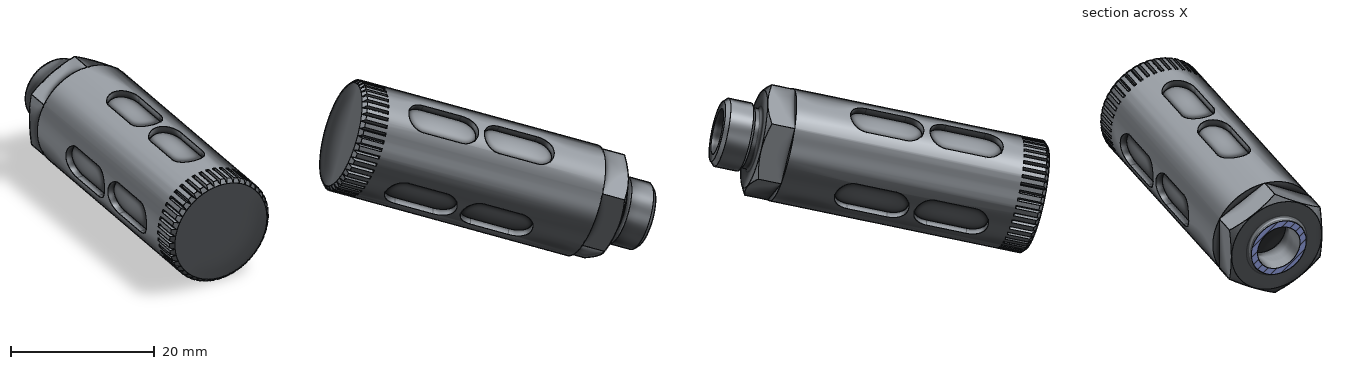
import cadquery as cq
import math

total_length = 46.0

thread_diameter = 9.73
neck_diameter = 8.57
bore_diameter = 6.49
thread_length = 3.9
mouth_chamfer_length = 0.6
neck_taper_length = 0.42
neck_fillet_radius = 0.4

hex_start = 5.33
hex_length = 3.92
hex_end = hex_start + hex_length
hex_across_flats = 14.0
hex_corner_radius = hex_across_flats / math.sqrt(3)
hex_chamfer_length = 0.6
hex_face_radius = 6.95

body_diameter = 16.0
body_radius = body_diameter / 2
end_chamfer = 0.55

slot_length = 10.6
slot_width = 4.85
slot_floor_radius = 7.0
slot_sides = 4
first_slot_center = 22.35
slot_pitch = 11.5
slot_centers = (first_slot_center, first_slot_center + slot_pitch)

knurl_start = 42.2
knurl_count = 45
knurl_width = 0.45
knurl_depth = 0.5


def make_stub():
    """Threaded stub, revolved about X, ending flush with the hexagon face."""
    thread_radius = thread_diameter / 2
    neck_radius = neck_diameter / 2
    fillet_start = hex_start - neck_fillet_radius
    arc_inset = neck_fillet_radius * math.sin(math.radians(45))
    arc_middle = (
        fillet_start + arc_inset,
        neck_radius + neck_fillet_radius - arc_inset,
    )
    profile = (
        cq.Workplane("XY")
        .moveTo(0, 0)
        .lineTo(0, neck_radius)
        .lineTo(mouth_chamfer_length, thread_radius)
        .lineTo(thread_length, thread_radius)
        .lineTo(thread_length + neck_taper_length, neck_radius)
        .lineTo(fillet_start, neck_radius)
        .threePointArc(arc_middle, (hex_start, neck_radius + neck_fillet_radius))
        .lineTo(hex_start, 0)
        .close()
    )
    return profile.revolve(360, (0, 0, 0), (1, 0, 0))


def make_hexagon():
    """Hexagon with its corners cut back by a cone on the stub side."""
    hexagon = (
        cq.Workplane("YZ", origin=(hex_start, 0, 0))
        .polygon(6, 2 * hex_corner_radius)
        .extrude(hex_length)
        .rotate((0, 0, 0), (1, 0, 0), 90)
    )
    cone = (
        cq.Workplane("XY")
        .moveTo(hex_start, 0)
        .lineTo(hex_start, hex_face_radius)
        .lineTo(hex_start + hex_chamfer_length, hex_corner_radius)
        .lineTo(hex_end, hex_corner_radius)
        .lineTo(hex_end, 0)
        .close()
        .revolve(360, (0, 0, 0), (1, 0, 0))
    )
    return hexagon.intersect(cone)


def make_body():
    """Plain round body with a chamfered closed end."""
    return (
        cq.Workplane("YZ", origin=(hex_end, 0, 0))
        .circle(body_radius)
        .extrude(total_length - hex_end)
        .faces(">X")
        .chamfer(end_chamfer)
    )


def cut_slots(part):
    """Cut the round-ended slots down to a cylindrical floor."""
    core = cq.Workplane("YZ").circle(slot_floor_radius).extrude(total_length)
    row = (
        cq.Workplane("XY")
        .pushPoints([(center, 0) for center in slot_centers])
        .slot2D(slot_length, slot_width)
        .extrude(body_diameter)
        .cut(core)
    )
    for side in range(slot_sides):
        part = part.cut(row.rotate((0, 0, 0), (1, 0, 0), side * 360 / slot_sides))
    return part


def cut_knurl(part):
    """Cut the V grooves, evenly spaced around the closed end, the first one at +Z."""
    root_radius = body_radius - knurl_depth
    overshoot = knurl_depth
    top_half_width = knurl_width / 2 * (knurl_depth + overshoot) / knurl_depth
    groove = (
        cq.Workplane("YZ", origin=(knurl_start, 0, 0))
        .moveTo(0, root_radius)
        .lineTo(top_half_width, body_radius + overshoot)
        .lineTo(-top_half_width, body_radius + overshoot)
        .close()
        .extrude(total_length - knurl_start)
        .val()
    )
    step = 360 / knurl_count
    axis_start = cq.Vector(0, 0, 0)
    axis_end = cq.Vector(1, 0, 0)
    grooves = [groove.rotate(axis_start, axis_end, i * step) for i in range(knurl_count)]
    return part.cut(cq.Workplane(cq.Compound.makeCompound(grooves)))


def cut_bore(part):
    """Bore the stub and hexagon from the mouth, down to a flat floor."""
    bore = cq.Workplane("YZ").circle(bore_diameter / 2).extrude(hex_end)
    return part.cut(bore)


body = cut_knurl(cut_slots(make_body()))
result = cut_bore(make_stub().union(make_hexagon()).union(body))